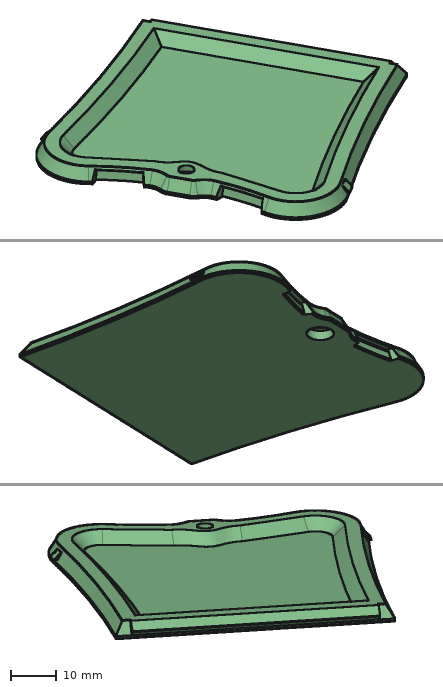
import cadquery as cq
import math

height = 3.8
base_band = 0.7
foot_chamfer_height = 0.2
foot_chamfer_inset = 0.1
rim_band = 0.2
floor_thickness = 1.1

back_y = 32.85
back_half_width = 31.3
side_radius = 337.2
corner_y = -22.25
corner_radius = 11.7
corner_start_angle = 17.5

nose_y = -32.0
nose_flat = 2.6
nose_radius = 3.0
nose_shoulder_x = 7.1
nose_rise = 1.4

skirt_inset = 1.7
pocket_inset = 5.2
pocket_back_y = 28.6
pocket_draft = 2.7
bump_y = -23.1
bump_shoulder_x = 7.7
bump_drop = 2.2
pocket_corner_start_angle = 13.0

hole_y = -26.5
hole_diameter = 3.5
counterbore_diameter = 6.0
hole_land = 1.5

window_front_inner_x = 6.9
window_front_outer_x = 19.7
window_back_inner_x = 10.0
window_back_outer_x = 19.0
window_top = 3.0
window_front_y = corner_y - corner_radius
window_back_y = -27.25
wall_foot_inset = 1.7
wall_inset = 2.2
wall_groove = 0.5
wall_top = 2.3
wall_chamfer = 0.3

tongue_half_width = 27.75
tongue_tip_y = 33.9
tongue_tip_z = 2.0
tongue_tip_flat = 0.2
tongue_top_y = 32.0

lug_tip_x = 35.9
lug_top_x = 34.15
lug_root_x = 33.0
lug_bottom = 1.2
lug_top = 2.9
lug_front_y = -20.3
lug_back_y = -17.5
lug_turn = 5.0

side_center_x = back_half_width + side_radius
corner_reach = side_radius + corner_radius
corner_x = side_center_x - math.sqrt(corner_reach**2 - (back_y - corner_y) ** 2)
side_end_angle = math.asin((back_y - corner_y) / corner_reach)


def on_circle(center, radius, angle):
    """Point at an angle measured from +X."""
    return (center[0] + radius * math.cos(angle), center[1] + radius * math.sin(angle))


def arc(center, radius, start, end):
    """Middle and end points of an arc."""
    return on_circle(center, radius, (start + end) / 2), on_circle(center, radius, end)


def mirrored(point):
    """Point reflected across X = 0."""
    return (-point[0], point[1])


def nose_front(inset):
    """Flat nose with two tangent arcs up to a level shoulder on each side.

    Returns the curve and its right shoulder.
    """
    span = nose_shoulder_x - nose_flat
    turn = 2 * math.atan(nose_rise / span)
    tip_y = nose_y + inset
    tip_radius = nose_radius - inset
    shoulder_radius = span / math.sin(turn) - tip_radius
    shoulder = (nose_shoulder_x, tip_y + nose_rise)

    tip_center = (nose_flat, tip_y + tip_radius)
    tip_middle, joint = arc(tip_center, tip_radius, -math.pi / 2, turn - math.pi / 2)
    shoulder_center = (nose_shoulder_x, shoulder[1] - shoulder_radius)
    shoulder_middle, _ = arc(shoulder_center, shoulder_radius, turn + math.pi / 2, math.pi / 2)
    return (
        cq.Workplane("XY")
        .moveTo(*mirrored(shoulder))
        .threePointArc(mirrored(shoulder_middle), mirrored(joint))
        .threePointArc(mirrored(tip_middle), (-nose_flat, tip_y))
        .lineTo(nose_flat, tip_y)
        .threePointArc(tip_middle, joint)
        .threePointArc(shoulder_middle, shoulder)
    ), shoulder


def bump_front(draft):
    """Smooth bump between two level shoulders.

    Returns the curve and its right shoulder.
    """
    tip = (0, bump_y + draft)
    shoulder = (bump_shoulder_x, tip[1] - bump_drop)
    level = (1, 0)
    return (
        cq.Workplane("XY")
        .moveTo(*mirrored(shoulder))
        .spline([tip, shoulder], tangents=[level, level, level], includeCurrent=True)
    ), shoulder


def perimeter(z, inset, back, front, shoulder, start_angle):
    """Closed outline at height z: the front curve continued around the corners to the back edge."""
    radius = corner_radius - inset
    center = (corner_x, corner_y)
    start = -math.pi / 2 - math.radians(start_angle)
    corner_start = on_circle(center, radius, start)

    dx = corner_start[0] - shoulder[0]
    dy = corner_start[1] - shoulder[1]
    normal = (math.cos(start), math.sin(start))
    arch_radius = (dx**2 + dy**2) / (2 * (dx * normal[0] + dy * normal[1]))
    arch_center = on_circle(corner_start, -arch_radius, start)
    shoulder_angle = math.atan2(shoulder[1] - arch_center[1], shoulder[0] - arch_center[0])
    arch_end_angle = math.atan2(corner_start[1] - arch_center[1], corner_start[0] - arch_center[0])
    arch = arc(arch_center, abs(arch_radius), shoulder_angle, arch_end_angle)

    corner = arc(center, radius, start, side_end_angle)
    side_arc_radius = side_radius + inset
    back_angle = math.pi - math.asin((back - back_y) / side_arc_radius)
    side = arc((side_center_x, back_y), side_arc_radius, math.pi + side_end_angle, back_angle)

    right_arcs = [arch, corner, side]
    outline = front
    for middle, end in right_arcs:
        outline = outline.threePointArc(middle, end)
    outline = outline.lineTo(-side[1][0], back)
    left_ends = [corner[1], arch[1], shoulder]
    for (middle, _), end in zip(reversed(right_arcs), left_ends):
        outline = outline.threePointArc(mirrored(middle), mirrored(end))
    return outline.close().val().translate(cq.Vector(0, 0, z))


def outer_perimeter(z, inset):
    """Outline of the plate at height z."""
    front, shoulder = nose_front(inset)
    return perimeter(z, inset, back_y - inset, front, shoulder, corner_start_angle)


def pocket_perimeter(z, draft):
    """Outline of the pocket at height z, narrowed by draft."""
    front, shoulder = bump_front(draft)
    back = pocket_back_y - draft
    return perimeter(z, pocket_inset + draft, back, front, shoulder, pocket_corner_start_angle)


def stack(sections):
    """Solid through (height, inset) pairs of the outer perimeter."""
    solid = None
    for low, high in zip(sections, sections[1:]):
        wires = [outer_perimeter(*low), outer_perimeter(*high)]
        layer = cq.Workplane(cq.Solid.makeLoft(wires, True))
        solid = layer if solid is None else solid.union(layer)
    return solid


def body():
    """Solid plate with an upright foot, a sloped skirt and an upright rim."""
    return stack([
        (0, foot_chamfer_inset),
        (foot_chamfer_height, 0),
        (base_band, 0),
        (height - rim_band, skirt_inset),
        (height, skirt_inset),
    ])


def pocket():
    """Tray recess with sloped walls."""
    wires = [pocket_perimeter(floor_thickness, pocket_draft), pocket_perimeter(height, 0)]
    return cq.Workplane(cq.Solid.makeLoft(wires, True))


def window_openings():
    """Blocks that clear the skirt between the nose and each corner."""
    right = (
        cq.Workplane("XY")
        .polyline([
            (window_front_inner_x, window_front_y),
            (window_front_outer_x, window_front_y),
            (window_back_outer_x, window_back_y),
            (window_back_inner_x, window_back_y),
        ])
        .close()
        .extrude(window_top)
    )
    return right.union(right.mirror("YZ"))


def window_walls():
    """Recessed walls left standing at the back of the windows."""
    core = stack([
        (0, wall_foot_inset + wall_chamfer),
        (wall_chamfer, wall_foot_inset),
        (wall_top, wall_inset),
        (window_top, wall_inset + wall_groove),
    ])
    return core.intersect(window_openings())


def tongue():
    """Wedge-shaped ridge along the back edge."""
    return (
        cq.Workplane("YZ")
        .polyline([
            (tongue_top_y, height),
            (tongue_tip_y, tongue_tip_z),
            (tongue_tip_y, tongue_tip_z - tongue_tip_flat),
            (back_y, base_band),
            (back_y - skirt_inset, base_band),
            (back_y - skirt_inset, height),
        ])
        .close()
        .extrude(tongue_half_width, both=True)
    )


def lugs():
    """Small blocks on the skirt, their outer faces turned to follow the sides."""
    right = (
        cq.Workplane("XZ", origin=(0, lug_back_y, 0))
        .polyline([
            (lug_root_x, lug_bottom),
            (lug_tip_x, lug_bottom),
            (lug_top_x, lug_top),
            (lug_root_x, lug_top),
        ])
        .close()
        .extrude(lug_back_y - lug_front_y)
        .rotate((lug_tip_x, lug_front_y, 0), (lug_tip_x, lug_front_y, 1), lug_turn)
    )
    return right.union(right.mirror("YZ"))


def hole():
    """Through hole with a counterbore from below."""
    through = cq.Workplane("XY").center(0, hole_y).circle(hole_diameter / 2).extrude(height)
    counterbore = (
        cq.Workplane("XY").center(0, hole_y).circle(counterbore_diameter / 2).extrude(height - hole_land)
    )
    return through.union(counterbore)


skirt = body().cut(window_openings()).union(window_walls())
result = skirt.union(tongue()).union(lugs()).cut(pocket()).cut(hole())